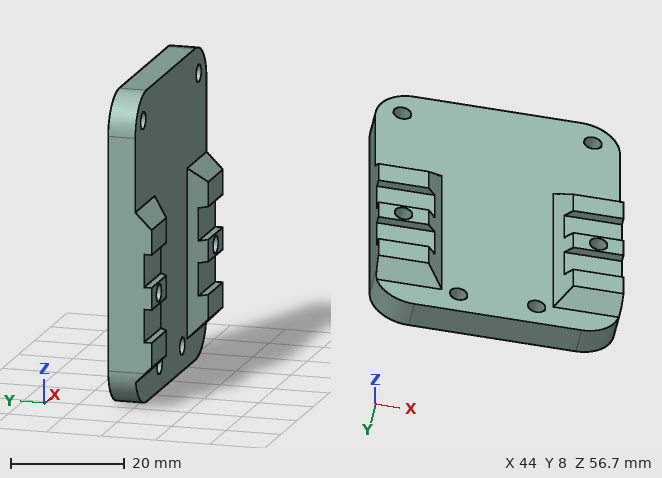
import cadquery as cq

plate_width = 44.0
plate_height = 56.65
plate_thickness = 5.0
corner_radius = 7.0

pad_length = 31.0
pad_width = 12.0
pad_height = 3.0
pad_bevel = pad_height
pad_center_z = -7.7

slot_width = 6.0
slot_depth = 1.4
slot_pitch = 10.0

hole_diameter = 3.15
top_hole_x = 17.1
top_hole_z = 23.3
pad_hole_x = 17.5
bottom_hole_x = 7.0
bottom_hole_z = -23.75

total_thickness = plate_thickness + pad_height
side_edge = plate_width / 2


def rounded_block(front_y, back_y):
    """Block with the rounded plate outline, spanning front_y to back_y."""
    return (
        cq.Workplane("XZ", origin=(0, back_y, 0))
        .rect(plate_width, plate_height)
        .extrude(back_y - front_y)
        .edges("|Y")
        .fillet(corner_radius)
    )


def right_pad():
    """Pad with slopes at its top, bottom and inner side, cut by two cross slots."""
    pad = (
        cq.Workplane("XZ", origin=(side_edge, 0, pad_center_z))
        .rect(2 * pad_width, pad_length)
        .workplane(offset=pad_height)
        .rect(2 * (pad_width - pad_bevel), pad_length - 2 * pad_bevel)
        .loft(ruled=True)
    )
    for direction in (-1, 1):
        slot_z = pad_center_z + direction * slot_pitch / 2
        slot = (
            cq.Workplane("XZ", origin=(side_edge, slot_depth - pad_height, slot_z))
            .rect(2 * pad_width, slot_width)
            .extrude(slot_depth)
        )
        pad = pad.cut(slot)
    return pad


def through_holes():
    """Three mirrored pairs of holes through the full thickness."""
    centers = []
    for side in (-1, 1):
        centers.append((side * top_hole_x, top_hole_z))
        centers.append((side * pad_hole_x, pad_center_z))
        centers.append((side * bottom_hole_x, bottom_hole_z))
    return (
        cq.Workplane("XZ", origin=(0, plate_thickness, 0))
        .pushPoints(centers)
        .circle(hole_diameter / 2)
        .extrude(total_thickness)
    )


plate = rounded_block(0, plate_thickness)
pad = right_pad().intersect(rounded_block(-pad_height, 0))
result = plate.union(pad).union(pad.mirror("YZ")).cut(through_holes())